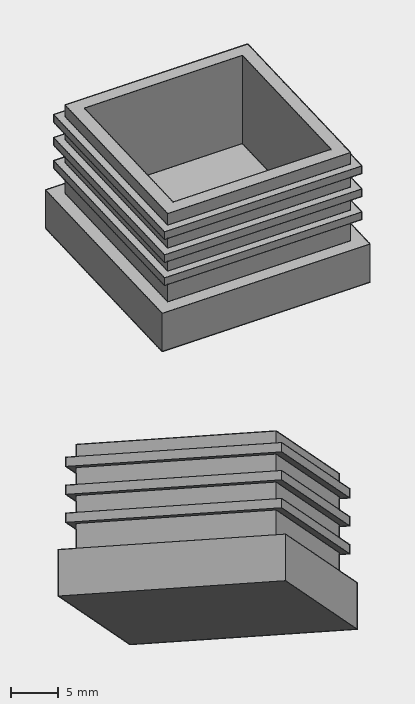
import cadquery as cq

flange_width = 25.0
flange_height = 5.0
plug_width = 22.0
plug_height = 11.5
wall_thickness = 1.5
fin_width = 23.75
fin_thickness = 1.0
fin_count = 3
fin_pitch = 3.0
first_fin_gap = 3.0

cavity_width = plug_width - 2 * wall_thickness


def square_block(width, height, bottom_z):
    """Square block centred on the Z axis, standing on bottom_z."""
    return cq.Workplane("XY").workplane(offset=bottom_z).rect(width, width).extrude(height)


def fin(index):
    """Square fin ring, filled through the plug; index 0 is the lowest."""
    bottom_z = flange_height + first_fin_gap + index * fin_pitch
    return square_block(fin_width, fin_thickness, bottom_z)


body = square_block(flange_width, flange_height, 0)
body = body.union(square_block(plug_width, plug_height, flange_height))
for fin_index in range(fin_count):
    body = body.union(fin(fin_index))

cavity = square_block(cavity_width, plug_height, flange_height)
result = body.cut(cavity)